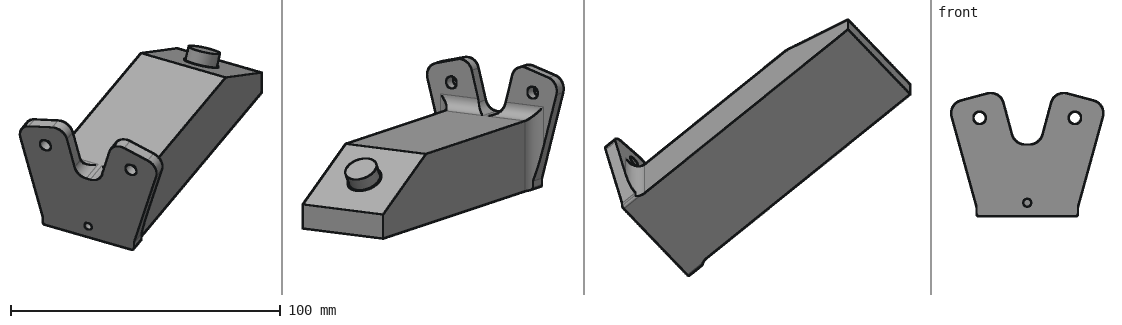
import cadquery as cq
import math

length = 110.3
beam_width = 35.0
beam_height = 26.7
plate_width = 56.5
plate_height = 45.8
plate_thickness = 5.0
blend_radius = 5.0

foot_width = 37.6
foot_height = 3.4
foot_corner_radius = 1.0
slot_floor_width = 1.7
slot_angle = math.radians(15)

mount_hole_spacing = 35.3
mount_hole_height = 36.5
mount_hole_diameter = 4.5
pilot_hole_height = 5.1
pilot_hole_diameter = 3.0
pilot_hole_depth = 10.0

slope_angle = 30.0
slope_run = 30.3
stud_diameter = 12.0
stud_height = 5.0
recess_diameter = 13.0
recess_depth = 0.2

slope_drop = slope_run * math.tan(math.radians(slope_angle))
blend_end = plate_thickness + blend_radius
blend_offset = blend_radius * math.sqrt(0.5)


def plan_body():
    """Beam and plate seen along Z, with a concave blend on each side."""
    half_beam = beam_width / 2
    half_plate = plate_width / 2
    blend_center = half_beam + blend_radius
    return (
        cq.Workplane("XY")
        .moveTo(-half_plate, 0)
        .lineTo(half_plate, 0)
        .lineTo(half_plate, plate_thickness)
        .lineTo(blend_center, plate_thickness)
        .threePointArc(
            (blend_center - blend_offset, blend_end - blend_offset),
            (half_beam, blend_end),
        )
        .lineTo(half_beam, length)
        .lineTo(-half_beam, length)
        .lineTo(-half_beam, blend_end)
        .threePointArc(
            (blend_offset - blend_center, blend_end - blend_offset),
            (-blend_center, plate_thickness),
        )
        .lineTo(-half_plate, plate_thickness)
        .close()
        .extrude(plate_height)
    )


def side_body():
    """Beam and plate seen along X, with the top blend and the sloping end."""
    blend_center_z = beam_height + blend_radius
    return (
        cq.Workplane("YZ")
        .moveTo(0, 0)
        .lineTo(length, 0)
        .lineTo(length, beam_height - slope_drop)
        .lineTo(length - slope_run, beam_height)
        .lineTo(blend_end, beam_height)
        .threePointArc(
            (blend_end - blend_offset, blend_center_z - blend_offset),
            (plate_thickness, blend_center_z),
        )
        .lineTo(plate_thickness, plate_height)
        .lineTo(0, plate_height)
        .close()
        .extrude(plate_width / 2, both=True)
    )


def plate_corners():
    """Sharp corners of one plate arm: foot top, outer tip, inner tip, slot floor."""
    slope = math.tan(slot_angle)
    radius = blend_radius
    floor_x = slot_floor_width / 2 + radius * math.tan((math.pi / 2 - slot_angle) / 2)

    inner_z = plate_height - radius
    inner_x = floor_x + (inner_z - beam_height) * slope + radius / math.cos(slot_angle)
    outer_x = plate_width / 2 - radius
    outer_z = inner_z - (outer_x - inner_x) * slope

    foot = (foot_width / 2, foot_height)
    run = outer_x - foot[0]
    rise = outer_z - foot[1]
    edge_angle = math.atan2(run, rise) + math.asin(radius / math.hypot(run, rise))
    edge_slope = math.tan(edge_angle)

    top_z = inner_z + slope * inner_x + radius / math.cos(slot_angle)
    tip_x = (foot[0] + edge_slope * (top_z - foot[1])) / (1 + edge_slope * slope)
    tip = (tip_x, top_z - slope * tip_x)
    inner_tip_x = (floor_x + slope * (top_z - beam_height)) / (1 + slope * slope)
    inner_tip = (inner_tip_x, top_z - slope * inner_tip_x)
    return [foot, tip, inner_tip, (floor_x, beam_height)]


def front_body():
    """Slotted plate outline carried along the whole part."""
    right = [(foot_width / 2, 0)] + plate_corners()
    left = [(-x, z) for x, z in reversed(right)]
    body = cq.Workplane("XZ").polyline(right + left).close().extrude(-length)
    upper = cq.selectors.BoxSelector(
        (-plate_width, -1.1, beam_height - 1.1), (plate_width, length + 1.1, 2 * plate_height)
    )
    lower = cq.selectors.BoxSelector(
        (-plate_width, -1.1, -1.1), (plate_width, length + 1.1, foot_height / 2)
    )
    body = body.edges("|Y").edges(upper).fillet(blend_radius)
    return body.edges("|Y").edges(lower).fillet(foot_corner_radius)


def cut_plate_holes(body):
    """Two mounting holes through the arms and a blind hole near the foot."""
    half_spacing = mount_hole_spacing / 2
    mount_holes = (
        cq.Workplane("XZ")
        .pushPoints([(-half_spacing, mount_hole_height), (half_spacing, mount_hole_height)])
        .circle(mount_hole_diameter / 2)
        .extrude(-plate_thickness)
    )
    pilot_hole = (
        cq.Workplane("XZ")
        .center(0, pilot_hole_height)
        .circle(pilot_hole_diameter / 2)
        .extrude(-pilot_hole_depth)
    )
    return body.cut(mount_holes).cut(pilot_hole)


def add_stud(body):
    """Shallow recess in the middle of the slope with a stud rising from its floor."""
    tilt = math.radians(slope_angle)
    slope_plane = cq.Plane(
        origin=(0, length - slope_run / 2, beam_height - slope_drop / 2),
        xDir=(1, 0, 0),
        normal=(0, math.sin(tilt), math.cos(tilt)),
    )
    recess = cq.Workplane(slope_plane).circle(recess_diameter / 2).extrude(-recess_depth)
    stud = (
        cq.Workplane(slope_plane)
        .workplane(offset=-recess_depth)
        .circle(stud_diameter / 2)
        .extrude(recess_depth + stud_height)
    )
    return body.cut(recess).union(stud)


bracket = plan_body().intersect(side_body()).intersect(front_body())
result = add_stud(cut_plate_holes(bracket))